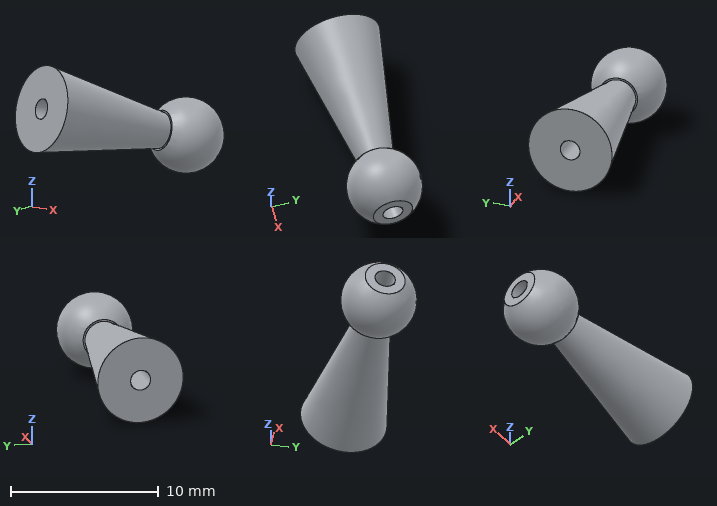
import cadquery as cq

total_length = 14.4
cone_length = 10.0
ball_width = total_length - cone_length

cone_base_diameter = 6.0
cone_tip_diameter = 2.5
ball_diameter = 5.2
bore_diameter = 1.4

ball_center_x = cone_length + ball_width / 2


def make_bore():
    """Cylinder along X that runs through both bodies."""
    return cq.Workplane("YZ").circle(bore_diameter / 2).extrude(total_length)


def make_cone():
    """Tapered sleeve, narrowing from its base at X = 0 to the ball."""
    profile = (
        cq.Workplane("XY")
        .lineTo(0, cone_base_diameter / 2)
        .lineTo(cone_length, cone_tip_diameter / 2)
        .lineTo(cone_length, 0)
        .close()
    )
    return profile.revolve(360, (0, 0, 0), (1, 0, 0)).cut(make_bore())


def make_ball():
    """Bored ball, cut flat on the cone side and on the far end."""
    sphere = cq.Workplane("XY").sphere(ball_diameter / 2)
    flats = cq.Workplane("XY").box(ball_width, ball_diameter, ball_diameter)
    return sphere.intersect(flats).translate((ball_center_x, 0, 0)).cut(make_bore())


cone = make_cone()
ball = make_ball()

result = cq.Compound.makeCompound([cone.solids().val(), ball.solids().val()])